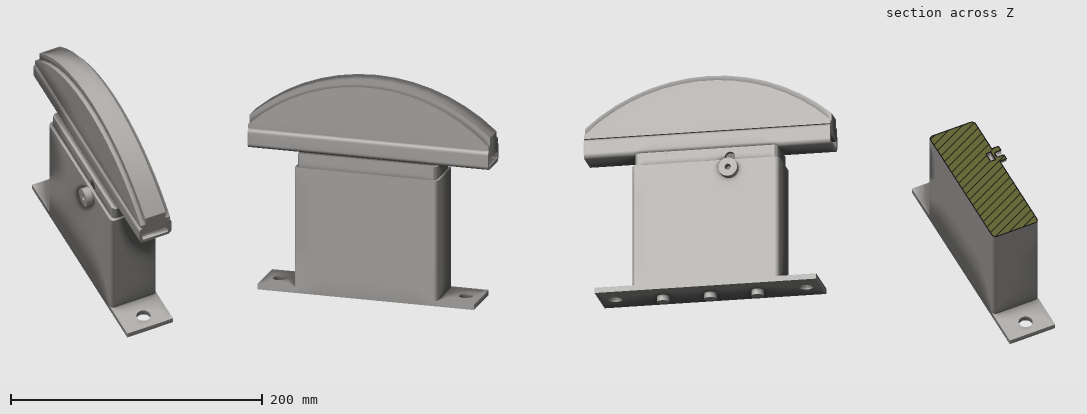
import cadquery as cq
import math

overall_height = 183.5

pin_diameter = 10.0
pin_length = 4.5
pin_spacing = 38.5
plate_length = 180.0
plate_width = 40.0
plate_thickness = 4.5
mounting_hole_diameter = 11.2
mounting_hole_offset = 77.5
plate_top = pin_length + plate_thickness

case_length = 119.5
case_height = 100.0
case_corner_radius = 3.5
case_top = plate_top + case_height

block_length = 115.5
block_width = 35.0
block_height = 10.8
block_corner_chamfer = 2.2
block_top = case_top + block_height
block_front = -block_width / 2

slot_width = 8.5
slot_top = 116.2
slot_depth = 4.0

panel_center_x = -28.5
panel_width = 15.2
panel_height = 9.0
panel_depth = 0.1

screw_x = 19.5
screw_z = 101.0
screw_head_diameter = 15.2
screw_head_height = 6.0
screw_socket_diameter = 5.0

rail_length = 200.0
rail_width = 28.0
rail_height = 16.5
rail_wall = 2.8
rail_outer_radius = 3.8
rail_inner_radius = rail_outer_radius - rail_wall
rail_mouth = 13.5
rail_top = block_top + rail_height

foot_height = 5.0
body_width = 25.5
strip_width = 17.8
strip_radius = 152.0
body_radius = 147.0
arch_center_z = overall_height - strip_radius


def upright_box(length, width, bottom, top):
    """Box centred on X and Y between two heights."""
    return (
        cq.Workplane("XY")
        .box(length, width, top - bottom, centered=(True, True, False))
        .translate((0, 0, bottom))
    )


def front_plane(x, y, z):
    """Plane facing -Y with local X along +X and local Y along +Z."""
    return cq.Workplane("XZ", origin=(x, y, z))


def make_base():
    base = upright_box(plate_length, plate_width, pin_length, plate_top)
    for side in (-1, 1):
        hole = (
            cq.Workplane("XY")
            .center(side * mounting_hole_offset, 0)
            .circle(mounting_hole_diameter / 2)
            .extrude(plate_top)
        )
        base = base.cut(hole)
    for position in (-1, 0, 1):
        pin = (
            cq.Workplane("XY")
            .center(position * pin_spacing, 0)
            .circle(pin_diameter / 2)
            .extrude(plate_top)
        )
        base = base.union(pin)
    return base


def make_case():
    case = upright_box(case_length, plate_width, plate_top, case_top)
    return case.edges("|Z").fillet(case_corner_radius)


def make_block():
    block = upright_box(block_length, block_width, plate_top, block_top)
    return block.edges("|Z").chamfer(block_corner_chamfer)


def make_slot():
    """Cutter for the slot, rounded at the top and about the screw axis."""
    slot_length = slot_top - screw_z + slot_width / 2
    return (
        front_plane(screw_x, block_front, slot_top - slot_length / 2)
        .slot2D(slot_length, slot_width, 90)
        .extrude(-slot_depth)
    )


def make_panel():
    """Cutter for the marker panel."""
    return (
        front_plane(panel_center_x, block_front, case_top + panel_height / 2)
        .rect(panel_width, panel_height)
        .extrude(-panel_depth)
    )


def make_screw_head():
    return (
        front_plane(screw_x, -plate_width / 2, screw_z)
        .circle(screw_head_diameter / 2)
        .circle(screw_socket_diameter / 2)
        .extrude(screw_head_height)
    )


def make_rail():
    inner_width = rail_width - 2 * rail_wall
    rail = upright_box(rail_length, rail_width, block_top, rail_top)
    rail = rail.edges("|X").fillet(rail_outer_radius)
    channel = upright_box(rail_length, inner_width, block_top + rail_wall, rail_top - rail_wall)
    channel = channel.edges("|X").fillet(rail_inner_radius)
    mouth = upright_box(rail_length, rail_mouth, rail_top - rail_wall, rail_top)
    return rail.cut(channel).cut(mouth)


def make_arch(width, radius, bottom):
    """Slab with vertical ends and a round top about the common arch centre."""
    half_length = rail_length / 2
    end_z = arch_center_z + math.sqrt(radius**2 - half_length**2)
    return (
        cq.Workplane("XZ")
        .moveTo(-half_length, bottom)
        .lineTo(-half_length, end_z)
        .threePointArc((0, arch_center_z + radius), (half_length, end_z))
        .lineTo(half_length, bottom)
        .close()
        .extrude(width / 2, both=True)
    )


def make_slider():
    foot_top = rail_top - rail_wall
    foot_width = rail_width - 2 * rail_wall
    foot = upright_box(rail_length, foot_width, foot_top - foot_height, foot_top)
    foot = foot.edges("|X and >Z").fillet(rail_inner_radius)
    neck = upright_box(rail_length, rail_mouth, foot_top, rail_top)
    body = make_arch(body_width, body_radius, rail_top)
    strip = make_arch(strip_width, strip_radius, rail_top)
    return foot.union(neck).union(body).union(strip)


result = (
    make_base()
    .union(make_case())
    .union(make_block())
    .cut(make_slot())
    .cut(make_panel())
    .union(make_screw_head())
    .union(make_rail())
    .union(make_slider())
)